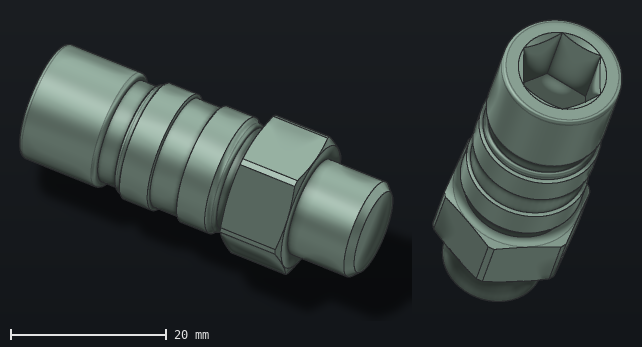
import cadquery as cq
import math

LENGTH = 47.0

BODY_DIAMETER = 15.8
BODY_END = 10.95
BODY_FILLET = 0.5

NECK_DIAMETER = 14.0

RIM_DIAMETER = 15.1
SLEEVE_START = 13.5
SLEEVE_END = 28.0
RIM_FILLET = 0.45

BAND_DIAMETER = 16.05
BAND_START = 14.43
GROOVE_START = 18.7
GROOVE_END = 22.6
BAND_END = 26.8
BAND_WALL_RUN = 0.15

HEX_FLATS = 17.0
HEX_CORNER_DIAMETER = 19.15
HEX_START = 29.45
HEX_END = 37.95
HEX_TILT = -9.2
HEX_FACE_DIAMETER = 16.9
FRONT_CHAMFER_RUN = 0.3
REAR_CHAMFER_RUN = 0.38

SHANK_DIAMETER = 13.15
SHANK_CHAMFER = 1.0

SOCKET_FLATS = 10.0
SOCKET_DEPTH = 10.0
SOCKET_ROTATION = 30.0
LEAD_IN_ANGLE = 37.0


def hex_corner_diameter(flats):
    """Diameter of the circle through the corners of a regular hexagon."""
    return flats / math.cos(math.pi / 6)


def hex_prism(flats, start, end, rotation):
    """Hexagonal prism along X; at zero rotation one corner points along +Y."""
    return (
        cq.Workplane("YZ", origin=(start, 0, 0))
        .polygon(6, hex_corner_diameter(flats))
        .extrude(end - start)
        .rotate((0, 0, 0), (1, 0, 0), rotation)
    )


def revolve_about_x(profile):
    """Close a half profile drawn as (x, radius) points and turn it about X."""
    return profile.close().revolve(360, (0, 0, 0), (1, 0, 0))


def turned_core():
    """Body, neck, sleeve and shank, turned from one half profile."""
    body = BODY_DIAMETER / 2
    neck = NECK_DIAMETER / 2
    rim = RIM_DIAMETER / 2
    band = BAND_DIAMETER / 2
    shank = SHANK_DIAMETER / 2

    cove_end = SLEEVE_END - RIM_FILLET
    cove_run = cove_end - BAND_END
    cove_drop = band - rim
    cove_radius = (cove_run**2 + cove_drop**2) / (2 * cove_drop)

    profile = (
        cq.Workplane("XY")
        .moveTo(0, 0)
        .lineTo(0, body - BODY_FILLET)
        .tangentArcPoint((BODY_FILLET, body), relative=False)
        .lineTo(BODY_END - BODY_FILLET, body)
        .tangentArcPoint((BODY_END, body - BODY_FILLET), relative=False)
        .lineTo(BODY_END, neck)
        .lineTo(SLEEVE_START, neck)
        .lineTo(SLEEVE_START, rim - RIM_FILLET)
        .tangentArcPoint((SLEEVE_START + RIM_FILLET, rim), relative=False)
        .lineTo(BAND_START, rim)
        .lineTo(BAND_START + BAND_WALL_RUN, band)
        .lineTo(GROOVE_START - BAND_WALL_RUN, band)
        .lineTo(GROOVE_START, rim)
        .lineTo(GROOVE_END, rim)
        .lineTo(GROOVE_END + BAND_WALL_RUN, band)
        .lineTo(BAND_END, band)
        .radiusArc((cove_end, rim), -cove_radius)
        .tangentArcPoint((SLEEVE_END, rim - RIM_FILLET), relative=False)
        .lineTo(SLEEVE_END, neck)
        .lineTo(HEX_START, neck)
        .lineTo(HEX_START, shank)
        .lineTo(LENGTH - SHANK_CHAMFER, shank)
        .lineTo(LENGTH, shank - SHANK_CHAMFER)
        .lineTo(LENGTH, 0)
    )
    return revolve_about_x(profile)


def outer_hexagon():
    """Hexagon with turned-down corners and a conical chamfer on each end."""
    prism = hex_prism(HEX_FLATS, HEX_START, HEX_END, HEX_TILT)
    envelope = revolve_about_x(
        cq.Workplane("XY")
        .moveTo(HEX_START, 0)
        .lineTo(HEX_START, HEX_FACE_DIAMETER / 2)
        .lineTo(HEX_START + FRONT_CHAMFER_RUN, HEX_CORNER_DIAMETER / 2)
        .lineTo(HEX_END - REAR_CHAMFER_RUN, HEX_CORNER_DIAMETER / 2)
        .lineTo(HEX_END, HEX_FACE_DIAMETER / 2)
        .lineTo(HEX_END, 0)
    )
    return prism.intersect(envelope)


def socket():
    """Blind hexagonal hole, one corner pointing up, with its conical lead-in."""
    hole = hex_prism(SOCKET_FLATS, 0, SOCKET_DEPTH, SOCKET_ROTATION)
    mouth_radius = hex_corner_diameter(SOCKET_FLATS) / 2
    lead_in = revolve_about_x(
        cq.Workplane("XY")
        .lineTo(0, mouth_radius)
        .lineTo(mouth_radius * math.tan(math.radians(LEAD_IN_ANGLE)), 0)
    )
    return hole.union(lead_in)


result = turned_core().union(outer_hexagon()).cut(socket())